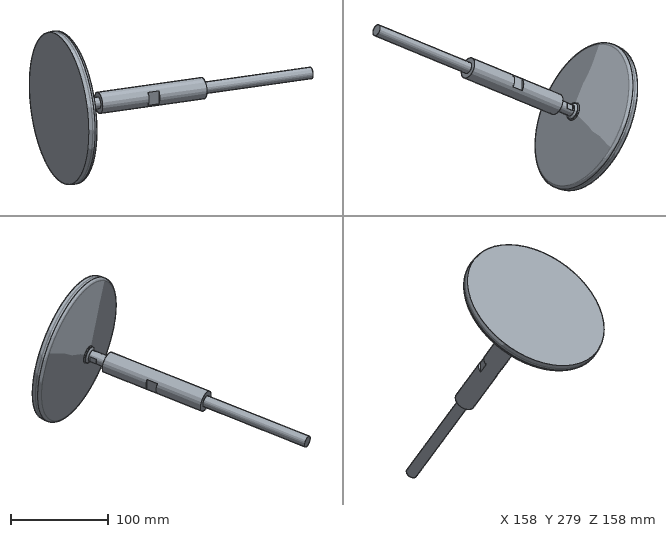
import cadquery as cq

total_length = 279.0

foot_diameter = 158.0
pad_thickness = 6.7
pad_taper_height = 4.2
pad_taper_inset = 0.5

rim_height = 9.5
rim_radius = 3.0
cone_top_height = 21.0
collar_lip_height = 23.0
collar_top_height = 24.5
collar_base_diameter = 19.0
collar_groove_diameter = 16.7
collar_lip_diameter = 17.9

rod_diameter = 12.0
sleeve_diameter = 22.0
sleeve_start = 43.8
sleeve_end = 159.3

rod_flat_start = 26.2
rod_flat_end = 33.8
rod_across_flats = 10.0
sleeve_flat_start = 95.0
sleeve_flat_end = 107.0
sleeve_across_flats = 17.0


def turned(outline):
    """Revolve a closed half profile in the XY plane about the Y axis."""
    return outline.close().revolve(360, (0, 0, 0), (0, 1, 0))


def cylinder(diameter, start, end):
    """Solid cylinder along Y from start to end."""
    return cq.Workplane("XZ", origin=(0, start, 0)).circle(diameter / 2).extrude(start - end)


def make_pad():
    radius = foot_diameter / 2
    return turned(
        cq.Workplane("XY")
        .lineTo(radius - pad_taper_inset, 0)
        .lineTo(radius, pad_taper_height)
        .lineTo(radius, pad_thickness)
        .lineTo(0, pad_thickness)
    )


def make_foot():
    radius = foot_diameter / 2
    collar_groove_height = (cone_top_height + collar_lip_height) / 2
    cone = turned(
        cq.Workplane("XY")
        .moveTo(0, pad_thickness)
        .lineTo(radius, pad_thickness)
        .lineTo(radius, rim_height)
        .lineTo(collar_base_diameter / 2, cone_top_height)
        .lineTo(0, cone_top_height)
    )
    rim_band = 0.3
    rim_edge = cq.selectors.BoxSelector(
        (-foot_diameter, rim_height - rim_band, -foot_diameter),
        (foot_diameter, rim_height + rim_band, foot_diameter),
    )
    cone = cone.edges(rim_edge).fillet(rim_radius)
    collar = turned(
        cq.Workplane("XY")
        .moveTo(0, cone_top_height)
        .lineTo(collar_base_diameter / 2, cone_top_height)
        .lineTo(collar_groove_diameter / 2, collar_groove_height)
        .lineTo(collar_lip_diameter / 2, collar_lip_height)
        .lineTo(rod_diameter / 2, collar_top_height)
        .lineTo(0, collar_top_height)
    )
    return cone.union(collar)


def cut_wrench_flats(body, diameter, across_flats, start, end):
    """Cut two opposite flats, leaving across_flats between them along X."""
    depth = (diameter - across_flats) / 2
    for side in (-1, 1):
        center_x = side * (across_flats + depth) / 2
        cutter = cq.Workplane("XY").box(depth, end - start, diameter)
        body = body.cut(cutter.translate((center_x, (start + end) / 2, 0)))
    return body


def make_stem():
    rod = cylinder(rod_diameter, collar_top_height, total_length)
    rod = cut_wrench_flats(rod, rod_diameter, rod_across_flats, rod_flat_start, rod_flat_end)
    sleeve = cylinder(sleeve_diameter, sleeve_start, sleeve_end)
    stem = rod.union(sleeve)
    return cut_wrench_flats(
        stem, sleeve_diameter, sleeve_across_flats, sleeve_flat_start, sleeve_flat_end
    )


pad = make_pad()
foot = make_foot()
stem = make_stem()

result = cq.Compound.makeCompound([pad.val(), foot.val(), stem.val()])